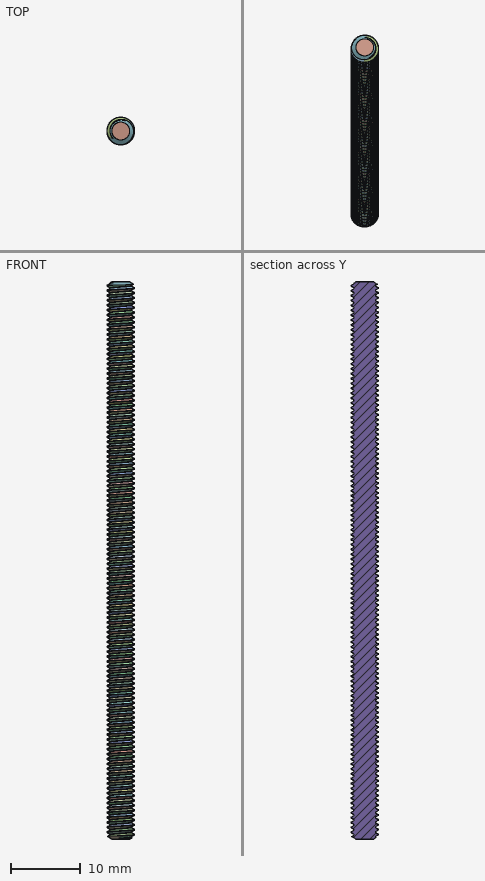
import cadquery as cq
import math

rod_length = 80.0
major_diameter = 4.0
lead_span = 5.6
lead_turns = 8
thread_angle = 60.0
chamfer_width = 0.7
chamfer_height = 0.5
start_angle = 45.0
first_crest_height = 0.066

pitch = lead_span / lead_turns
flat_width = pitch / 8
flank_width = pitch / 2 - flat_width
thread_depth = flank_width / math.tan(math.radians(thread_angle / 2))
crest_radius = major_diameter / 2
root_radius = crest_radius - thread_depth

runout_turns = 2
turn_count = math.ceil(rod_length / pitch) + 2 * runout_turns
trim_depth = 2 * runout_turns * pitch
trim_radius = 2 * crest_radius

tooth_outline = [
    (crest_radius, 0),
    (crest_radius, flat_width),
    (root_radius, flat_width + flank_width),
    (root_radius, pitch - flank_width),
    (crest_radius, pitch),
]


def one_turn(radius, height):
    """Single turn of a right-hand helix that starts on the XZ plane."""
    helix = cq.Wire.makeHelix(pitch, pitch, radius).Edges()[0]
    return helix.translate(cq.Vector(0, 0, height))


def make_turn_faces():
    """Outer skin of one thread turn: crest, flank, root and flank."""
    lower_points = tooth_outline[:-1]
    upper_points = tooth_outline[1:]
    return [
        cq.Face.makeRuledSurface(one_turn(*lower), one_turn(*upper))
        for lower, upper in zip(lower_points, upper_points)
    ]


def make_cap_faces(height):
    """Spiral face from the axis to the crest, and the upright step between its two ends."""
    axis_bottom = cq.Vector(0, 0, height)
    axis_top = cq.Vector(0, 0, height + pitch)
    axis = cq.Edge.makeLine(axis_bottom, axis_top)
    spiral = cq.Face.makeRuledSurface(axis, one_turn(crest_radius, height))
    rim = [cq.Vector(radius, 0, height + rise) for radius, rise in tooth_outline]
    step_outline = cq.Wire.makePolygon([axis_bottom, *rim, axis_top], close=True)
    return [spiral, cq.Face.makeFromWires(step_outline)]


def make_long_thread():
    """Solid threaded bar that runs past both ends of the rod."""
    turn_faces = make_turn_faces()
    skin = make_cap_faces(0) + make_cap_faces(turn_count * pitch)
    for turn in range(turn_count):
        skin += [face.translate(cq.Vector(0, 0, turn * pitch)) for face in turn_faces]
    thread = cq.Solid.makeSolid(cq.Shell.makeShell(skin))
    base_height = first_crest_height - flat_width / 2 - runout_turns * pitch
    return (
        cq.Workplane("XY")
        .newObject([thread])
        .translate((0, 0, base_height))
        .rotate((0, 0, 0), (0, 0, 1), start_angle)
    )


def make_top_trimmer():
    """Everything above the chamfered top end of the rod."""
    flat_radius = crest_radius - chamfer_width
    cone_drop = (trim_radius - flat_radius) * chamfer_height / chamfer_width
    return (
        cq.Workplane("XZ")
        .polyline(
            [
                (0, rod_length),
                (flat_radius, rod_length),
                (trim_radius, rod_length - cone_drop),
                (trim_radius, rod_length + trim_depth),
                (0, rod_length + trim_depth),
            ]
        )
        .close()
        .revolve(360, (0, 0, 0), (0, 1, 0))
    )


top_trimmer = make_top_trimmer()
bottom_trimmer = top_trimmer.mirror("XY").translate((0, 0, rod_length))
result = make_long_thread().cut(top_trimmer).cut(bottom_trimmer).solids()